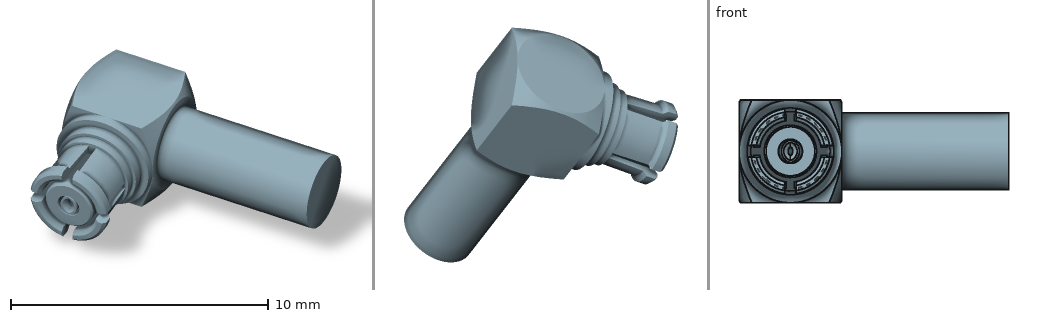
import cadquery as cq
import math


block_width = 4.0
block_depth = 3.8
side_chamfer_angle = 30.0

ferrule_diameter = 3.0
overall_length = 10.5
ferrule_end = overall_length - block_width / 2

flange_diameter = 4.0
flange_length = 0.38
shoulder_diameter = 3.38
shoulder_length = 0.47
neck_diameter = 3.09
neck_length = 0.38

barrel_root_diameter = 2.86
barrel_end_diameter = 2.93
barrel_length = 1.59
lip_ramp = 0.16
lip_diameter = 3.33
lip_length = 0.35
tip_chamfer = 0.13
barrel_bore_diameter = 2.4
bore_mouth_diameter = 2.69
slot_count = 4
slot_root_width = 0.32
slot_mouth_width = 0.46

sleeve_diameter = 2.04
sleeve_end_diameter = 1.9
sleeve_chamfer = (sleeve_diameter - sleeve_end_diameter) / 2
sleeve_bore_diameter = 0.95
sleeve_setback = 0.13
pin_diameter = 0.92
tine_length = 1.05
tine_shift = 0.12
socket_mouth_diameter = 0.76
socket_bore_diameter = 0.42
funnel_depth = 0.17
socket_depth = 0.63

block_front = block_depth / 2
flange_front = block_front + flange_length
shoulder_front = flange_front + shoulder_length
neck_front = shoulder_front + neck_length
barrel_front = neck_front + barrel_length
lip_back = barrel_front + lip_ramp
lip_front = lip_back + lip_length
plug_tip = lip_front + tip_chamfer
sleeve_front = plug_tip - sleeve_setback
pin_front = sleeve_front


def plug_revolve(points):
    """Revolve (radius, distance) points about the plug axis."""
    outline = [(radius, -distance) for radius, distance in points]
    return cq.Workplane("XY").polyline(outline).close().revolve(360, (0, 0, 0), (0, 1, 0))


def plug_plane(distance):
    """Workplane across the plug axis: local x is X, local y is Z, normal is -Y."""
    return cq.Workplane("XZ", origin=(0, -distance, 0))


def plug_cylinder(diameter, back, front):
    return plug_plane(back).circle(diameter / 2).extrude(front - back)


def make_block():
    """Box whose two X sides are turned down to round faces by cones about X."""
    half_width = block_width / 2
    face_radius = block_depth / 2
    outer_radius = block_width
    cone_run = (outer_radius - face_radius) * math.tan(math.radians(side_chamfer_angle))
    turned = (
        cq.Workplane("XY")
        .moveTo(-half_width, 0)
        .lineTo(-half_width, face_radius)
        .lineTo(cone_run - half_width, outer_radius)
        .lineTo(half_width - cone_run, outer_radius)
        .lineTo(half_width, face_radius)
        .lineTo(half_width, 0)
        .close()
        .revolve(360, (0, 0, 0), (1, 0, 0))
    )
    return cq.Workplane("XY").box(block_width, block_depth, block_width).intersect(turned)


def make_plug_shell():
    """Collars, flared barrel and lip, open at the tip down to the barrel root."""
    lip_radius = lip_diameter / 2
    bore_radius = barrel_bore_diameter / 2
    mouth_radius = bore_mouth_diameter / 2
    mouth_depth = mouth_radius - bore_radius
    return plug_revolve([
        (0, block_front),
        (flange_diameter / 2, block_front),
        (flange_diameter / 2, flange_front),
        (shoulder_diameter / 2, flange_front),
        (shoulder_diameter / 2, shoulder_front),
        (neck_diameter / 2, shoulder_front),
        (neck_diameter / 2, neck_front),
        (barrel_root_diameter / 2, neck_front),
        (barrel_end_diameter / 2, barrel_front),
        (lip_radius, lip_back),
        (lip_radius, lip_front),
        (lip_radius - tip_chamfer, plug_tip),
        (mouth_radius, plug_tip),
        (bore_radius, plug_tip - mouth_depth),
        (bore_radius, neck_front),
        (0, neck_front),
    ])


def make_slot():
    """Tapered cutter through one barrel wall, on the +X side."""
    return (
        cq.Workplane("XY")
        .polyline([
            (-slot_root_width / 2, -neck_front),
            (slot_root_width / 2, -neck_front),
            (slot_mouth_width / 2, -plug_tip),
            (-slot_mouth_width / 2, -plug_tip),
        ])
        .close()
        .extrude(lip_diameter)
    )


def make_housing():
    ferrule = cq.Workplane("YZ").circle(ferrule_diameter / 2).extrude(ferrule_end)
    plug = make_plug_shell()
    for index in range(slot_count):
        angle = index * 360 / slot_count
        plug = plug.cut(make_slot().rotate((0, 0, 0), (0, 1, 0), angle))
    sleeve_seat = plug_cylinder(sleeve_diameter, block_front, neck_front)
    return make_block().union(ferrule).union(plug).cut(sleeve_seat)


def make_sleeve():
    sleeve = plug_cylinder(sleeve_diameter, block_front, sleeve_front)
    sleeve = sleeve.faces("<Y").chamfer(sleeve_chamfer)
    return sleeve.cut(plug_cylinder(sleeve_bore_diameter, block_front, sleeve_front))


def squeezed_round(back, front, back_diameter, front_diameter):
    """Overlap of two rounds moved together along X: a lens section, straight or tapered."""
    left, right = [
        plug_plane(back)
        .center(side * tine_shift, 0)
        .circle(back_diameter / 2)
        .workplane(offset=front - back)
        .circle(front_diameter / 2)
        .loft(ruled=True)
        for side in (-1, 1)
    ]
    return left.intersect(right)


def make_pin():
    """Round pin with squeezed tines and a funnel-mouthed socket."""
    tine_root = pin_front - tine_length
    funnel_back = pin_front - funnel_depth
    socket_back = pin_front - socket_depth
    shank = plug_cylinder(pin_diameter, block_front, tine_root)
    tines = squeezed_round(tine_root, pin_front, pin_diameter, pin_diameter)
    bore = squeezed_round(socket_back, funnel_back, socket_bore_diameter, socket_bore_diameter)
    funnel = squeezed_round(funnel_back, pin_front, socket_bore_diameter, socket_mouth_diameter)
    return shank.union(tines).cut(bore).cut(funnel)


housing = make_housing()
sleeve = make_sleeve()
pin = make_pin()

result = cq.Compound.makeCompound([housing.solids().val(), sleeve.solids().val(), pin.solids().val()])